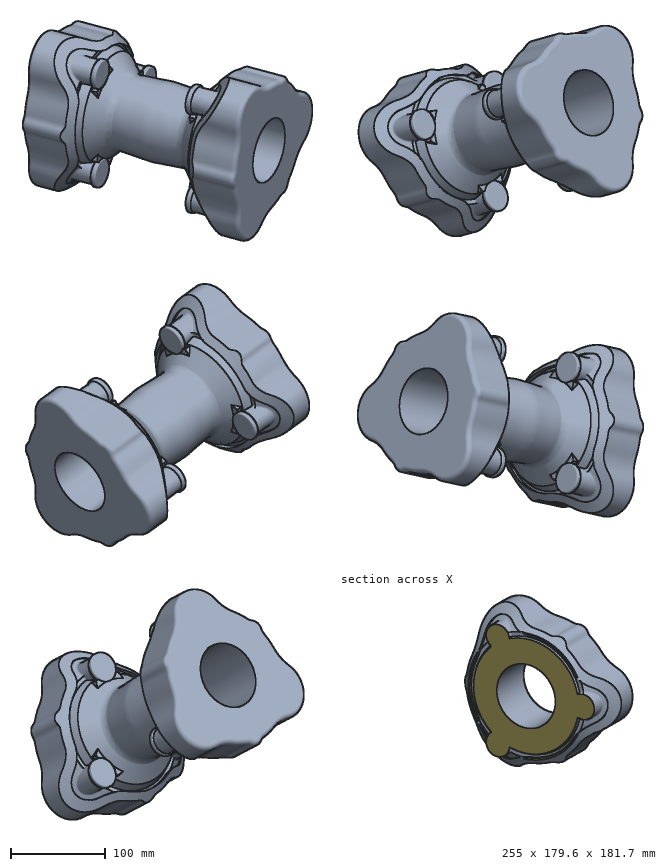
import cadquery as cq
import math

length = 255.0
half_length = length / 2
bore_diameter = 71.0
lobe_angles = (0, 120, 240)

base_radius = 76.0
lobe_center = 66.8
lobe_radius = 33.0
lobe_blend_radius = 44.5
tip_center = 67.8
tip_radius = 12.0
tip_blend_radius = 13.8
rim_fillet = 5.0

flange_cone_sum = 127.2
pocket_cone_sum = 124.0
hub_cone_sum = 125.5

flange_depth = 59.0
groove_depth = 53.5
groove_radius = 65.5
lip_depth = 64.0

neck_radius = 41.3
crown_radius = 44.0
neck_fillet = 10.2
crown_fillet = 40.8

pocket_base_radius = 68.3
pocket_lobe_radius = 22.5
pocket_blend_radius = 56.0

boss_distance = 69.0
boss_root_radius = 15.0
boss_tip_radius = 14.3
boss_root_depth = 30.5
boss_root_fillet = 2.3
boss_taper_end = 65.3
collar_radius = 16.3
collar_depth = 67.3
boss_end_depth = 73.5
collar_fillet = 1.5
pad_bottom = 43.4
pad_top = 58.6
pad_bottom_half_width = 20.5
pad_top_half_width = 16.5
pad_start_depth = 51.0
pad_end_depth = 72.0


def polar(radius, angle):
    """Point at a radius and angle, as (Y, Z)."""
    return (radius * math.cos(angle), radius * math.sin(angle))


def toward(start, end, distance):
    """Point at a distance from start on the way to end."""
    span = math.dist(start, end)
    return tuple(a + (b - a) * distance / span for a, b in zip(start, end))


def bump_arcs(axis, base_r, bump_center, bump_r, blend_r):
    """Arcs, as (start, middle, end), of a round bump blended into the base circle on both sides."""
    to_blend = base_r + blend_r
    between = bump_r + blend_r
    cosine = (to_blend**2 + bump_center**2 - between**2) / (2 * to_blend * bump_center)
    spread = math.acos(cosine)
    center = polar(bump_center, axis)
    sides = []
    for side in (-1, 1):
        blend_center = polar(to_blend, axis + side * spread)
        base_point = polar(base_r, axis + side * spread)
        bump_point = toward(center, blend_center, bump_r)
        chord_middle = tuple((a + b) / 2 for a, b in zip(base_point, bump_point))
        sides.append((base_point, toward(blend_center, chord_middle, blend_r), bump_point))
    before, after = sides
    crest = polar(bump_center + bump_r, axis)
    return [before, (before[2], crest, after[2]), after[::-1]]


def outline(base_r, bumps):
    """Closed YZ outline of a base circle with bumps, each a list of arcs, in angular order."""
    wire = cq.Workplane("YZ").moveTo(*bumps[0][0][0])
    for index, arcs in enumerate(bumps):
        for _, middle, end in arcs:
            wire = wire.threePointArc(middle, end)
        last_point = arcs[-1][2]
        next_point = bumps[(index + 1) % len(bumps)][0][0]
        leave = math.atan2(last_point[1], last_point[0])
        arrive = math.atan2(next_point[1], next_point[0])
        gap = (arrive - leave) % (2 * math.pi)
        wire = wire.threePointArc(polar(base_r, leave + gap / 2), next_point)
    return wire.close()


def revolved(points):
    """Solid of revolution about X from (depth, radius) points, closed along the axis."""
    return cq.Workplane("XY").polyline(points).close().revolve(360, (0, 0, 0), (1, 0, 0))


def make_flange():
    """Lobed prism with a rounded rim, its inner side cut back to a cone."""
    bumps = []
    for degrees in lobe_angles:
        lobe_axis = math.radians(degrees)
        tip_axis = math.radians(degrees + 60)
        bumps.append(bump_arcs(lobe_axis, base_radius, lobe_center, lobe_radius, lobe_blend_radius))
        bumps.append(bump_arcs(tip_axis, base_radius, tip_center, tip_radius, tip_blend_radius))
    prism = outline(base_radius, bumps).extrude(flange_depth).faces("<X").edges().fillet(rim_fillet)
    cone = revolved([
        (0, 0),
        (0, flange_cone_sum),
        (flange_depth, flange_cone_sum - flange_depth),
        (flange_depth, 0),
    ])
    return prism.intersect(cone)


def make_pockets():
    """Material removed around the bosses, down to a conical floor."""
    bumps = []
    for degrees in lobe_angles:
        axis = math.radians(degrees)
        bumps.append(bump_arcs(axis, pocket_base_radius, lobe_center, pocket_lobe_radius, pocket_blend_radius))
    prism = outline(pocket_base_radius, bumps).extrude(flange_depth)
    floor = revolved([
        (0, 0),
        (0, pocket_cone_sum),
        (groove_depth, pocket_cone_sum - groove_depth),
        (groove_depth, 0),
    ])
    return prism.cut(floor)


def make_hub():
    """Waisted hub between the flanges, highest at mid-length."""
    hub = revolved([
        (0, 0),
        (0, groove_radius),
        (groove_depth, groove_radius),
        (lip_depth, hub_cone_sum - lip_depth),
        (hub_cone_sum - neck_radius, neck_radius),
        (half_length, crown_radius),
        (length - hub_cone_sum + neck_radius, neck_radius),
        (length - lip_depth, hub_cone_sum - lip_depth),
        (length - groove_depth, groove_radius),
        (length, groove_radius),
        (length, 0),
    ])
    near_axis = crown_radius + 0.3
    neck_zone = cq.selectors.BoxSelector(
        (lip_depth, -near_axis, -near_axis), (length - lip_depth, near_axis, near_axis), boundingbox=True
    )
    crown_zone = cq.selectors.BoxSelector(
        (half_length - 2.5, -near_axis, -near_axis), (half_length + 2.5, near_axis, near_axis), boundingbox=True
    )
    hub = hub.edges(cq.selectors.SubtractSelector(neck_zone, crown_zone)).edges("%CIRCLE").fillet(neck_fillet)
    return hub.edges(crown_zone).edges("%CIRCLE").fillet(crown_fillet)


def make_boss():
    """Slightly tapered boss on the +Y lobe, running along X and flaring into a round-edged collar."""
    profile = (
        cq.Workplane("XY")
        .moveTo(boss_root_depth, 0)
        .lineTo(boss_root_depth, boss_root_radius)
        .lineTo(boss_taper_end, boss_tip_radius)
        .tangentArcPoint((collar_depth, collar_radius - collar_fillet), relative=False)
        .radiusArc((collar_depth + collar_fillet, collar_radius), collar_fillet)
        .lineTo(boss_end_depth - collar_fillet, collar_radius)
        .radiusArc((boss_end_depth, collar_radius - collar_fillet), collar_fillet)
        .lineTo(boss_end_depth, 0)
        .close()
    )
    boss = profile.revolve(360, (0, 0, 0), (1, 0, 0))
    return boss.translate((0, boss_distance, 0))


def make_pad():
    """Tapered pad carrying the +Y boss on the hub cone."""
    return (
        cq.Workplane("YZ", origin=(pad_start_depth, 0, 0))
        .polyline([
            (pad_bottom, -pad_bottom_half_width),
            (pad_top, -pad_top_half_width),
            (pad_top, pad_top_half_width),
            (pad_bottom, pad_bottom_half_width),
        ])
        .close()
        .extrude(pad_end_depth - pad_start_depth)
    )


def make_end():
    """One flange with its pockets, bosses and pads, its outer face at X = 0."""
    end = make_flange().cut(make_pockets())
    boss = make_boss()
    pad = make_pad()
    for degrees in lobe_angles:
        end = end.union(boss.rotate((0, 0, 0), (1, 0, 0), degrees))
    for degrees in lobe_angles:
        turned = end.rotate((0, 0, 0), (1, 0, 0), -degrees)
        turned = turned.edges(boss_root_edges).fillet(boss_root_fillet)
        end = turned.rotate((0, 0, 0), (1, 0, 0), degrees)
    for degrees in lobe_angles:
        end = end.union(pad.rotate((0, 0, 0), (1, 0, 0), degrees))
    return end


boss_root_edges = cq.selectors.BoxSelector(
    (boss_root_depth, boss_distance - boss_root_radius - 2.5, -boss_root_radius - 2.5),
    (groove_depth + 2.5, boss_distance + boss_root_radius + 2.5, boss_root_radius + 2.5),
    boundingbox=True,
)

end = make_end()
far_end = end.mirror("YZ").translate((length, 0, 0))
bore = cq.Workplane("YZ").circle(bore_diameter / 2).extrude(length)
result = make_hub().union(end).union(far_end).cut(bore)
result = result.translate((-half_length, 0, 0))